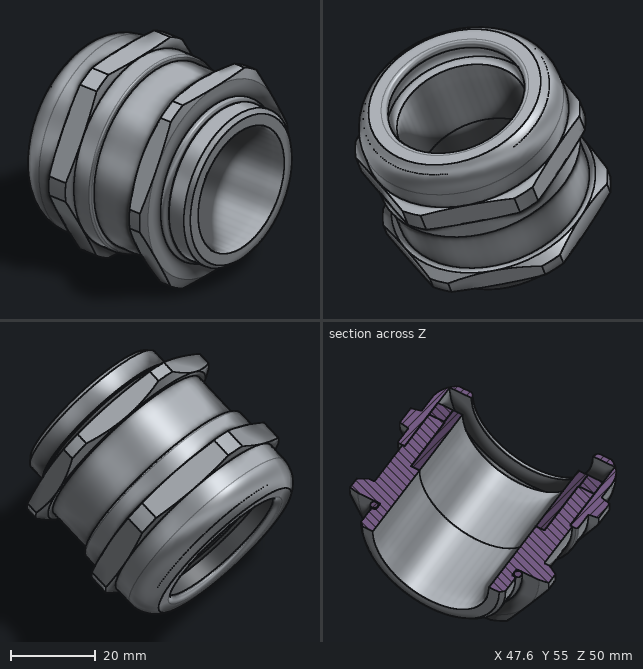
import cadquery as cq
import math

LENGTH = 47.6

HEX_FLATS = 50.0
HEX_CORNERS = 55.0

CAP_DIA = 49.8
CAP_END = 22.0
CAP_EDGE_ROUND = 0.5
NOSE_LENGTH = 6.25
NOSE_FACE_DIA = 42.1
MOUTH_DIA = 33.5
MOUTH_ROUND = 1.3
LIP_THICKNESS = 1.6
CAP_BORE_DIA = 45.5
CAP_HEX_START = 10.9
CAP_HEX_END = 17.0
CAP_HEX_FRONT_BEVEL = 0.6
CAP_HEX_BACK_BEVEL = 0.45

SEAL_START = 6.8
SEAL_END = 26.4
SEAL_BORE_DIA = 32.0
SEAL_DIA = 37.0
CLAMP_END = 11.0

BARREL_DIA = 47.0
BODY_HEX_START = 34.6
BODY_HEX_END = 39.65
BODY_HEX_FRONT_BEVEL = 1.5
BODY_HEX_BACK_BEVEL = 0.45
THREAD_DIA = 40.0
THREAD_START_CHAMFER = 0.4
THREAD_END_CHAMFER = 1.1

GROOVE_DIA = 37.8
CORD_DIA = 2.0


def revolve_about_x(profile):
    """Turn a closed profile of (x, radius) points a full turn about the X axis."""
    return profile.close().revolve(360, (0, 0, 0), (1, 0, 0))


def tube(start, end, outer_dia, inner_dia):
    """Plain ring on the X axis between two x positions."""
    return (
        cq.Workplane("YZ", origin=(start, 0, 0))
        .circle(outer_dia / 2)
        .circle(inner_dia / 2)
        .extrude(end - start)
    )


def bore_cutter(start, end, diameter):
    """Cylinder on the X axis between two x positions."""
    return cq.Workplane("YZ", origin=(start, 0, 0)).circle(diameter / 2).extrude(end - start)


def bevelled_hexagon(start, end, front_bevel, back_bevel):
    """Hexagon on the X axis, with turned corners and both end faces coned off beyond the flats."""
    prism = (
        cq.Workplane("YZ", origin=(start, 0, 0))
        .polygon(6, HEX_FLATS / math.cos(math.pi / 6))
        .extrude(end - start)
    )
    turned_blank = revolve_about_x(
        cq.Workplane("XY")
        .moveTo(start, 0)
        .lineTo(start, HEX_FLATS / 2)
        .lineTo(start + front_bevel, HEX_CORNERS / 2)
        .lineTo(end - back_bevel, HEX_CORNERS / 2)
        .lineTo(end, HEX_FLATS / 2)
        .lineTo(end, 0)
    )
    return prism.intersect(turned_blank)


def make_cap_nut():
    """Domed cap nut with a rounded mouth, a hexagon and a plain bore behind the lip."""
    cap_radius = CAP_DIA / 2
    nose_radius = NOSE_FACE_DIA / 2
    mouth_radius = MOUTH_DIA / 2

    nose_drop = cap_radius - nose_radius
    nose_round = (NOSE_LENGTH**2 + nose_drop**2) / (2 * nose_drop)
    half_angle = math.asin(NOSE_LENGTH / nose_round) / 2
    nose_middle = (
        NOSE_LENGTH - nose_round * math.sin(half_angle),
        cap_radius - nose_round * (1 - math.cos(half_angle)),
    )

    shell = revolve_about_x(
        cq.Workplane("XY")
        .moveTo(0, mouth_radius + MOUTH_ROUND)
        .lineTo(0, nose_radius)
        .threePointArc(nose_middle, (NOSE_LENGTH, cap_radius))
        .lineTo(CAP_END - CAP_EDGE_ROUND, cap_radius)
        .radiusArc((CAP_END, cap_radius - CAP_EDGE_ROUND), CAP_EDGE_ROUND)
        .lineTo(CAP_END, CAP_BORE_DIA / 2)
        .lineTo(LIP_THICKNESS, CAP_BORE_DIA / 2)
        .lineTo(LIP_THICKNESS, mouth_radius)
        .lineTo(MOUTH_ROUND, mouth_radius)
        .radiusArc((0, mouth_radius + MOUTH_ROUND), MOUTH_ROUND)
    )
    hexagon = bevelled_hexagon(CAP_HEX_START, CAP_HEX_END, CAP_HEX_FRONT_BEVEL, CAP_HEX_BACK_BEVEL)
    return shell.union(hexagon.cut(bore_cutter(CAP_HEX_START, CAP_HEX_END, CAP_BORE_DIA)))


def make_gland_body():
    """Gland body: neck inside the cap nut, barrel, hexagon, O-ring groove and thread."""
    neck_radius = CAP_BORE_DIA / 2
    barrel_radius = BARREL_DIA / 2
    groove_radius = GROOVE_DIA / 2
    thread_radius = THREAD_DIA / 2
    groove_end = BODY_HEX_END + CORD_DIA

    turned = revolve_about_x(
        cq.Workplane("XY")
        .moveTo(CLAMP_END, 0)
        .lineTo(CLAMP_END, neck_radius)
        .lineTo(CAP_END, neck_radius)
        .lineTo(CAP_END, barrel_radius)
        .lineTo(BODY_HEX_END, barrel_radius)
        .lineTo(BODY_HEX_END, groove_radius)
        .lineTo(groove_end, groove_radius)
        .lineTo(groove_end, thread_radius - THREAD_START_CHAMFER)
        .lineTo(groove_end + THREAD_START_CHAMFER, thread_radius)
        .lineTo(LENGTH - THREAD_END_CHAMFER, thread_radius)
        .lineTo(LENGTH, thread_radius - THREAD_END_CHAMFER)
        .lineTo(LENGTH, 0)
    )
    hexagon = bevelled_hexagon(
        BODY_HEX_START, BODY_HEX_END, BODY_HEX_FRONT_BEVEL, BODY_HEX_BACK_BEVEL
    )
    seal_seat = bore_cutter(CLAMP_END, SEAL_END, SEAL_DIA)
    through_bore = bore_cutter(CLAMP_END, LENGTH, SEAL_BORE_DIA)
    return turned.union(hexagon).cut(seal_seat).cut(through_bore)


def make_o_ring():
    """Round-cord ring resting on the groove floor and against the body hexagon."""
    cord_radius = CORD_DIA / 2
    cord = cq.Workplane("XY").center(BODY_HEX_END + cord_radius, GROOVE_DIA / 2 + cord_radius)
    axis_start = (0, -(GROOVE_DIA / 2 + cord_radius), 0)
    axis_end = (1, -(GROOVE_DIA / 2 + cord_radius), 0)
    return cord.circle(cord_radius).revolve(360, axis_start, axis_end)


cap_nut = make_cap_nut()
clamp_ring = tube(SEAL_START, CLAMP_END, CAP_BORE_DIA, SEAL_DIA)
seal = tube(SEAL_START, SEAL_END, SEAL_DIA, SEAL_BORE_DIA)
gland_body = make_gland_body()
o_ring = make_o_ring()

result = cq.Compound.makeCompound(
    [cap_nut.val(), clamp_ring.val(), seal.val(), gland_body.val(), o_ring.val()]
)